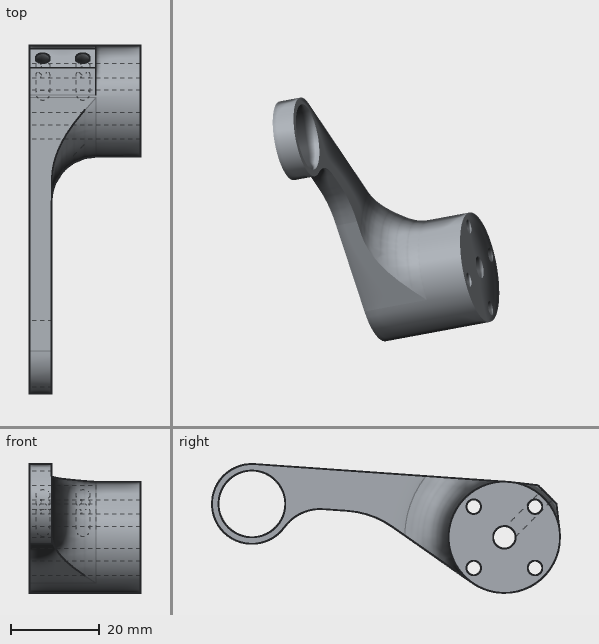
import cadquery as cq
import math

plate_thickness = 5.0
block_depth = 15.0
overall_depth = 25.0

hub_radius = 12.55
hub_bore_diameter = 5.0
bolt_offset = 6.9
screw_hole_diameter = 3.2
flare_radius = block_depth - plate_thickness

corner_near = 7.5
corner_far = 11.8
set_screw_edge_distance = 3.0

ring_y = -56.9
ring_z = 7.5
ring_radius = 9.0
ring_bore_diameter = 15.0

lower_edge_angle = 35.0
underside_corner_radius = 20.0
ring_blend_radius = 10.0
underside_end_y = -42.4
underside_end_z = 6.4


def on_circle(radius, angle, center=(0, 0)):
    """Point of a YZ circle, with the angle in radians from +Y toward +Z."""
    return (center[0] + radius * math.cos(angle), center[1] + radius * math.sin(angle))


def disc(radius, depth, center=(0, 0)):
    return cq.Workplane("YZ").center(*center).circle(radius).extrude(depth)


ring_center = (ring_y, ring_z)
center_distance = math.hypot(ring_y, ring_z)
top_normal = math.atan2(ring_z, ring_y) - math.acos((hub_radius - ring_radius) / center_distance)
hub_top = on_circle(hub_radius, top_normal)
ring_top = on_circle(ring_radius, top_normal, ring_center)
top_slope = (ring_top[1] - hub_top[1]) / (ring_top[0] - hub_top[0])

lower_tangent = on_circle(hub_radius, math.radians(270 - lower_edge_angle))
lower_slope = -math.tan(math.radians(lower_edge_angle))
knee_y = (
    underside_end_z - lower_tangent[1] + lower_slope * lower_tangent[0] - top_slope * underside_end_y
) / (lower_slope - top_slope)
knee_z = underside_end_z + top_slope * (knee_y - underside_end_y)
underside_inside_ring = (ring_y, underside_end_z + top_slope * (ring_y - underside_end_y))


def corner_block(depth):
    """Hub corner bounded by two lines tangent to the hub and a 45 degree chamfer."""
    corner_reach = math.hypot(corner_near, corner_far)
    tangent_angle = math.atan2(corner_far, corner_near) + math.acos(hub_radius / corner_reach)
    upper_tangent = on_circle(hub_radius, tangent_angle)
    side_tangent = (upper_tangent[1], upper_tangent[0])
    points = [
        (0, 0),
        upper_tangent,
        (corner_near, corner_far),
        (corner_far, corner_near),
        side_tangent,
    ]
    return cq.Workplane("YZ").polyline(points).close().extrude(depth)


def arm(depth):
    """Arm outline with its rounded underside, from the hub to the ring."""
    points = [
        (0, 0),
        hub_top,
        ring_top,
        ring_center,
        underside_inside_ring,
        (knee_y, knee_z),
        lower_tangent,
    ]
    body = cq.Workplane("YZ").polyline(points).close().extrude(depth)
    body = body.union(disc(ring_radius, depth, ring_center))

    line_angle = math.atan(top_slope)
    drop = (ring_z - underside_inside_ring[1]) * math.cos(line_angle)
    along = math.sqrt(ring_radius**2 - drop**2)
    entry_y = ring_y + along * math.cos(line_angle) + drop * math.sin(line_angle)
    entry_z = underside_inside_ring[1] + top_slope * (entry_y - ring_y)
    mid = depth / 2
    body = body.edges(cq.NearestToPointSelector((mid, entry_y, entry_z))).fillet(ring_blend_radius)
    knee = cq.NearestToPointSelector((mid, knee_y, knee_z))
    return body.edges(knee).fillet(underside_corner_radius)


def flare():
    """Concave round that widens the hub until it is tangent to the plate."""
    outer = hub_radius + flare_radius
    arc_offset = flare_radius * math.sqrt(0.5)
    arc_middle = (block_depth - arc_offset, outer - arc_offset)
    return (
        cq.Workplane("XY")
        .moveTo(0, 0)
        .lineTo(0, outer)
        .lineTo(plate_thickness, outer)
        .threePointArc(arc_middle, (block_depth, hub_radius))
        .lineTo(block_depth, 0)
        .close()
        .revolve(360, (0, 0, 0), (1, 0, 0))
    )


def axial_holes():
    holes = disc(hub_bore_diameter / 2, overall_depth)
    holes = holes.union(disc(ring_bore_diameter / 2, plate_thickness, ring_center))
    for y in (-bolt_offset, bolt_offset):
        for z in (-bolt_offset, bolt_offset):
            holes = holes.union(disc(screw_hole_diameter / 2, overall_depth, (y, z)))
    return holes


def set_screw_holes():
    """Holes square to the chamfer, running in to the hub axis."""
    length = (corner_near + corner_far) * math.sqrt(0.5)
    holes = cq.Workplane("XY")
    for x in (set_screw_edge_distance, block_depth - set_screw_edge_distance):
        hole = cq.Solid.makeCylinder(
            screw_hole_diameter / 2, length, cq.Vector(x, 0, 0), cq.Vector(0, 1, 1)
        )
        holes = holes.add(hole)
    return holes.combine()


hub = disc(hub_radius, overall_depth).union(corner_block(block_depth))
blend = arm(block_depth).intersect(flare())
result = hub.union(arm(plate_thickness)).union(blend)
result = result.cut(axial_holes()).cut(set_screw_holes())